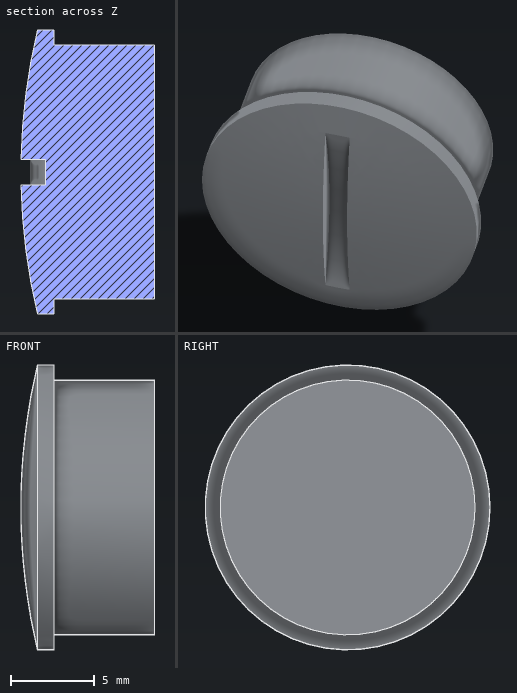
import cadquery as cq

flange_diameter = 17.0
body_diameter = 15.2
dome_height = 1.0
flange_thickness = 1.0
body_length = 6.0

slot_width = 1.5
slot_length = 13.0
slot_depth = 1.5

flange_radius = flange_diameter / 2
body_radius = body_diameter / 2
flange_back = dome_height + flange_thickness
total_length = flange_back + body_length
dome_radius = (flange_radius**2 + dome_height**2) / (2 * dome_height)


def dome_x(distance):
    """X position of the dome surface at a distance from the part axis."""
    return dome_radius - (dome_radius**2 - distance**2) ** 0.5


def make_plug():
    """Domed flange and plain cylindrical body, revolved about X."""
    mid_distance = flange_radius / 2
    profile = (
        cq.Workplane("XY")
        .moveTo(0, 0)
        .threePointArc((dome_x(mid_distance), mid_distance), (dome_height, flange_radius))
        .lineTo(flange_back, flange_radius)
        .lineTo(flange_back, body_radius)
        .lineTo(total_length, body_radius)
        .lineTo(total_length, 0)
        .close()
    )
    return profile.revolve(360, (0, 0, 0), (1, 0, 0))


def make_slot_cutter():
    """Disc along Y whose rim meets the dome at both ends of the slot."""
    half_length = slot_length / 2
    floor_sag = slot_depth - dome_x(half_length)
    cutter_radius = (half_length**2 + floor_sag**2) / (2 * floor_sag)
    return (
        cq.Workplane("XZ")
        .center(slot_depth - cutter_radius, 0)
        .circle(cutter_radius)
        .extrude(slot_width / 2, both=True)
    )


result = make_plug().cut(make_slot_cutter())